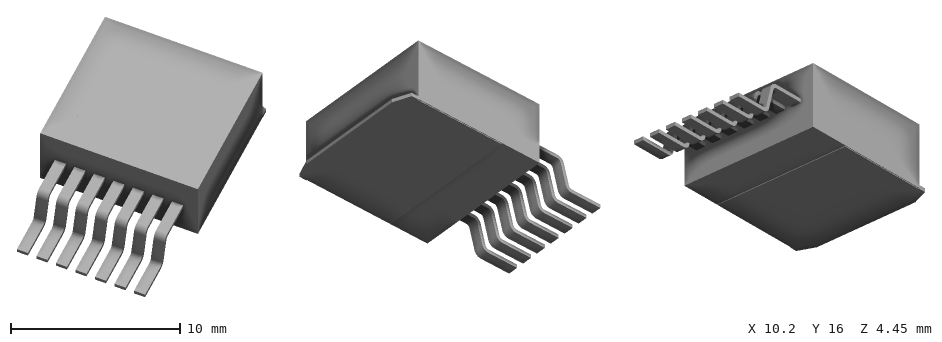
import cadquery as cq
import math

HOUSING_WIDTH = 10.2
HOUSING_LENGTH = 9.44
HOUSING_HEIGHT = 4.4

TAB_THICKNESS = 0.25
TAB_STANDOFF = 0.05
TAB_OVERHANG = 1.0
TAB_LENGTH = 7.55
TAB_TONGUE_INSET = 0.05
TAB_CORNER_WIDTH = 1.22
TAB_CORNER_LENGTH = 0.5

LEAD_COUNT = 7
LEAD_PITCH = 1.26
LEAD_WIDTH = 0.72
LEAD_THICKNESS = 0.25
LEAD_REACH = 5.55
LEAD_TOP = 2.3
SHOULDER_LENGTH = 2.2
BEND_INNER_RADIUS = 0.25
SHANK_TILT = 15.0

MARK_DIAMETER = 0.51
MARK_DEPTH = 0.1
MARK_INSET = 1.84

FIRST_LEAD_X = -LEAD_PITCH * (LEAD_COUNT - 1) / 2


def make_tab():
    """Flat plate: a full-width rear end with cut corners and a narrower tongue under the housing."""
    half_width = HOUSING_WIDTH / 2
    half_tongue = half_width - TAB_TONGUE_INSET
    rear = HOUSING_LENGTH + TAB_OVERHANG
    front = rear - TAB_LENGTH
    return (
        cq.Workplane("XY")
        .workplane(offset=-TAB_STANDOFF)
        .moveTo(-half_tongue, front)
        .lineTo(half_tongue, front)
        .lineTo(half_tongue, HOUSING_LENGTH)
        .lineTo(half_width, HOUSING_LENGTH)
        .lineTo(half_width, rear - TAB_CORNER_LENGTH)
        .lineTo(half_width - TAB_CORNER_WIDTH, rear)
        .lineTo(-half_width + TAB_CORNER_WIDTH, rear)
        .lineTo(-half_width, rear - TAB_CORNER_LENGTH)
        .lineTo(-half_width, HOUSING_LENGTH)
        .lineTo(-half_tongue, HOUSING_LENGTH)
        .close()
        .extrude(TAB_THICKNESS)
    )


def make_pin_mark():
    """Disc in line with the first lead."""
    return (
        cq.Workplane("XY")
        .workplane(offset=HOUSING_HEIGHT - MARK_DEPTH)
        .center(FIRST_LEAD_X, MARK_INSET)
        .circle(MARK_DIAMETER / 2)
        .extrude(MARK_DEPTH)
    )


def make_housing(tab, pin_mark):
    """Block with recesses that fit the tab and the pin 1 mark."""
    block = cq.Workplane("XY").box(
        HOUSING_WIDTH, HOUSING_LENGTH, HOUSING_HEIGHT, centered=(True, False, False)
    )
    return block.cut(tab).cut(pin_mark)


def make_lead(x):
    """Strip that leaves the housing level, slopes down and ends in a level foot."""
    bend_angle = math.radians(90 - SHANK_TILT)
    middle_radius = BEND_INNER_RADIUS + LEAD_THICKNESS / 2
    bend_run = middle_radius * math.sin(bend_angle)
    bend_drop = middle_radius * (1 - math.cos(bend_angle))
    half_bend_run = middle_radius * math.sin(bend_angle / 2)
    half_bend_drop = middle_radius * (1 - math.cos(bend_angle / 2))

    shoulder_z = LEAD_TOP - LEAD_THICKNESS / 2
    foot_z = LEAD_THICKNESS / 2
    shank_drop = shoulder_z - foot_z - 2 * bend_drop
    shank_run = shank_drop * math.tan(math.radians(SHANK_TILT))
    shank_start_y = -SHOULDER_LENGTH - bend_run
    shank_end_y = shank_start_y - shank_run
    foot_start_y = shank_end_y - bend_run
    center_line = (
        cq.Workplane("YZ", origin=(x, 0, 0))
        .moveTo(0, shoulder_z)
        .lineTo(-SHOULDER_LENGTH, shoulder_z)
        .threePointArc(
            (-SHOULDER_LENGTH - half_bend_run, shoulder_z - half_bend_drop),
            (shank_start_y, shoulder_z - bend_drop),
        )
        .lineTo(shank_end_y, foot_z + bend_drop)
        .threePointArc(
            (foot_start_y + half_bend_run, foot_z + half_bend_drop),
            (foot_start_y, foot_z),
        )
        .lineTo(-LEAD_REACH, foot_z)
    )
    return (
        cq.Workplane("XZ", origin=(x, 0, shoulder_z))
        .rect(LEAD_WIDTH, LEAD_THICKNESS)
        .sweep(center_line)
    )


tab = make_tab()
pin_mark = make_pin_mark()
housing = make_housing(tab, pin_mark)
leads = [make_lead(FIRST_LEAD_X + i * LEAD_PITCH) for i in range(LEAD_COUNT)]

result = cq.Compound.makeCompound(
    [housing.val(), tab.val(), pin_mark.val(), *[lead.val() for lead in leads]]
)